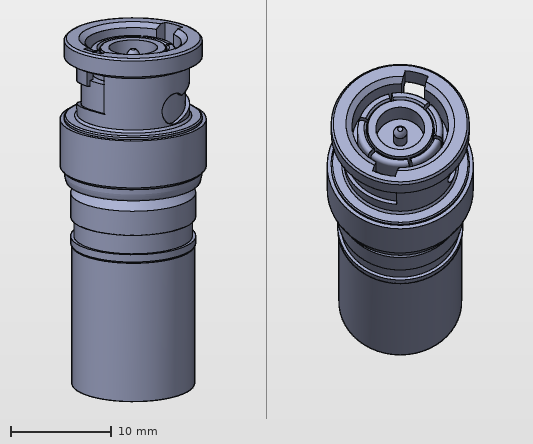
import cadquery as cq
import math

LENGTH = 36.15

flange_radius = 6.9
flange_rim_chamfer = 0.2
flange_rim_bottom = LENGTH - 1.88
flange_bottom = LENGTH - 2.45
flange_under_radius = 6.58
flange_under_height = LENGTH - 2.05
neck_radius = 5.65
neck_foot_radius = 5.85
neck_foot_height = 0.25

shoulder_radius = 6.9
shoulder_chamfer = 0.15
shoulder_top = LENGTH - 8.1
grip_radius = 7.3
grip_top = LENGTH - 8.45
grip_bottom = LENGTH - 13.38
grip_bottom_chamfer = 0.3
skirt_radius = 6.87
skirt_taper_top = LENGTH - 14.25
skirt_taper_bottom = LENGTH - 14.45
skirt_taper_radius = 6.85
skirt_chamfer_top = LENGTH - 14.8
skirt_chamfer_radius = 6.75
skirt_bottom = LENGTH - 14.93
skirt_bottom_radius = 6.7

body_cone_radius = 5.1
body_radius = 6.25
body_top = LENGTH - 16.15
body_bottom = LENGTH - 18.7
groove_radius = 5.93
groove_root_chamfer = 0.1
groove_bottom = LENGTH - 20.7
sleeve_collar_bottom = LENGTH - 21.47
sleeve_collar_chamfer = 0.18
sleeve_top = sleeve_collar_bottom - sleeve_collar_chamfer
sleeve_radius = 6.15

mouth_radius = 5.42
socket_radius = 4.8
mouth_depth = 0.45
socket_floor = LENGTH - 3.5

core_radius = 5.2
track_width = 2.35
notch_radius = 6.07
catch_radius = 1.6
catch_height = LENGTH - 6.18
track_angle = 14.0

contact_top = LENGTH - 0.98
contact_radius = 4.25
contact_tip_round = 0.4
contact_inner_radius = 3.4
contact_inner_chamfer = 0.2
finger_count = 6
finger_gap = 0.33

insulator_radius = 3.25
well_radius = 2.42
well_depth = 2.42
pin_top = LENGTH - 1.15
pin_radius = 0.7
pin_tip_radius = 0.25
pin_nose_length = 0.7
pin_nose_bulge = 0.07


def disc(radius, bottom, top):
    return cq.Workplane("XY").workplane(offset=bottom).circle(radius).extrude(top - bottom)


def revolve_profile(points):
    return cq.Workplane("XZ").polyline(points).close().revolve(360, (0, 0, 0), (0, 1, 0))


def outer_body():
    return revolve_profile([
        (0, 0),
        (sleeve_radius, 0),
        (sleeve_radius, sleeve_top),
        (body_radius - sleeve_collar_chamfer, sleeve_top),
        (body_radius, sleeve_collar_bottom),
        (body_radius, groove_bottom),
        (groove_radius, groove_bottom),
        (groove_radius, body_bottom - groove_root_chamfer),
        (groove_radius + groove_root_chamfer, body_bottom),
        (body_radius, body_bottom),
        (body_radius, body_top),
        (body_cone_radius, skirt_bottom),
        (skirt_bottom_radius, skirt_bottom),
        (skirt_chamfer_radius, skirt_chamfer_top),
        (skirt_taper_radius, skirt_taper_bottom),
        (skirt_radius, skirt_taper_top),
        (skirt_radius, grip_bottom - grip_bottom_chamfer),
        (grip_radius - grip_bottom_chamfer, grip_bottom - grip_bottom_chamfer),
        (grip_radius, grip_bottom),
        (grip_radius, grip_top),
        (shoulder_radius, grip_top),
        (shoulder_radius, shoulder_top - shoulder_chamfer),
        (shoulder_radius - shoulder_chamfer, shoulder_top),
        (neck_foot_radius, shoulder_top),
        (neck_radius, shoulder_top + neck_foot_height),
        (neck_radius, flange_bottom),
        (flange_under_radius, flange_under_height),
        (flange_radius, flange_rim_bottom),
        (flange_radius, LENGTH - flange_rim_chamfer),
        (flange_radius - flange_rim_chamfer, LENGTH),
        (0, LENGTH),
    ])


def socket():
    return revolve_profile([
        (0, socket_floor),
        (socket_radius, socket_floor),
        (socket_radius, LENGTH - mouth_depth),
        (mouth_radius, LENGTH),
        (0, LENGTH),
    ])


def bayonet_track():
    """Notch at -Y, sloping track and round catch at -X, all outside the core."""
    slope = math.radians(track_angle)
    tangent_y = -catch_radius * math.sin(slope)
    tangent_z = catch_height - catch_radius * math.cos(slope)
    outer_y = -grip_radius
    outer_z = tangent_z + (tangent_y - outer_y) * math.tan(slope)
    track_rise = track_width / math.cos(slope)
    ramp_length = grip_radius + track_width / 2
    ramp = (
        cq.Workplane("YZ").workplane(offset=-grip_radius)
        .polyline([
            (tangent_y, tangent_z),
            (outer_y, outer_z),
            (outer_y, outer_z + track_rise),
            (tangent_y, tangent_z + track_rise),
        ])
        .close().extrude(ramp_length)
    )
    catch = (
        cq.Workplane("YZ").workplane(offset=-grip_radius)
        .center(0, catch_height).circle(catch_radius).extrude(grip_radius)
    )
    notch_bottom = tangent_z + (tangent_y + neck_radius) * math.tan(slope) + track_rise / 2
    notch = (
        cq.Workplane("XY").workplane(offset=notch_bottom)
        .center(0, -notch_radius / 2).rect(track_width, notch_radius)
        .extrude(LENGTH - notch_bottom)
        .intersect(disc(notch_radius, 0, LENGTH))
    )
    core = disc(core_radius, 0, socket_floor)
    return ramp.union(catch).union(notch).cut(core)


def outer_contact():
    height = contact_top - socket_floor
    ring = (
        disc(contact_radius, socket_floor, contact_top)
        .faces(">Z").edges().fillet(contact_tip_round)
        .cut(disc(contact_inner_radius, socket_floor, contact_top))
        .faces(">Z").edges(cq.selectors.RadiusNthSelector(0))
        .chamfer(contact_inner_chamfer)
    )
    for i in range(finger_count // 2):
        gap = (
            cq.Workplane("XY").workplane(offset=socket_floor)
            .rect(2 * contact_radius, finger_gap).extrude(height)
            .rotate((0, 0, 0), (0, 0, 1), i * 360 / finger_count)
        )
        ring = ring.cut(gap)
    return ring


def insulator_and_pin():
    well_floor = contact_top - well_depth
    insulator = disc(insulator_radius, socket_floor, contact_top)
    well = disc(well_radius, well_floor, contact_top)
    pin = (
        cq.Workplane("XZ")
        .moveTo(0, well_floor)
        .lineTo(pin_radius, well_floor)
        .lineTo(pin_radius, pin_top - pin_nose_length)
        .sagittaArc((pin_tip_radius, pin_top), -pin_nose_bulge)
        .lineTo(0, pin_top)
        .close().revolve(360, (0, 0, 0), (0, 1, 0))
    )
    return insulator.cut(well).union(pin)


track = bayonet_track()
opposite_track = track.rotate((0, 0, 0), (0, 0, 1), 180)
result = outer_body().cut(socket()).cut(track).cut(opposite_track)
result = result.union(outer_contact()).union(insulator_and_pin())